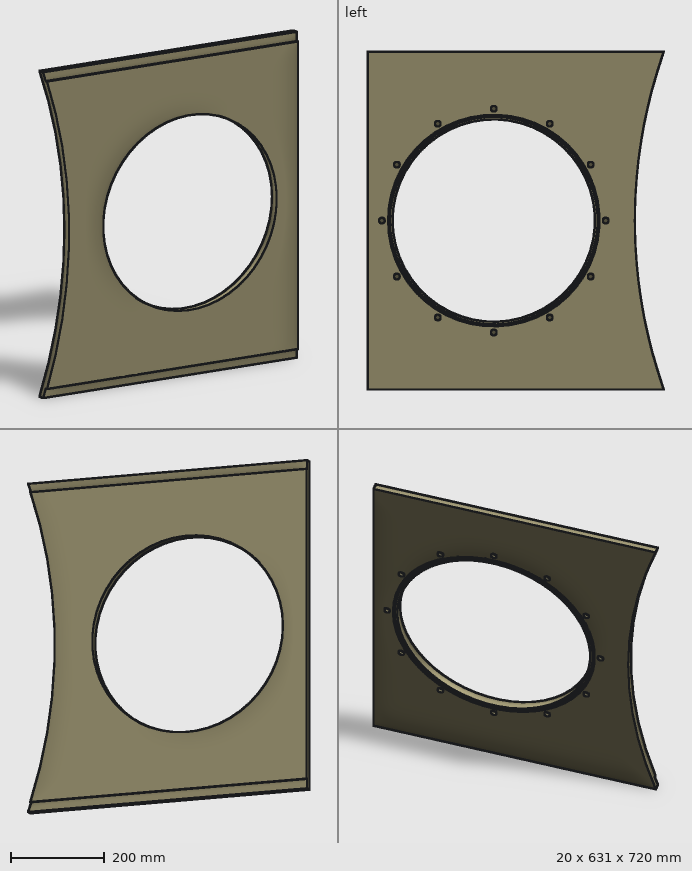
import cadquery as cq

thickness = 20.0
width = 631.0
height = 720.0
bore_to_straight_edge = 268.5
edge_hollow = 62.0

rebate_depth = 5.0
rebate_height = 20.0

bore_radius = 215.0
groove_inner_radius = 221.0
groove_outer_radius = 225.0
groove_depth = 3.0

hole_count = 12
hole_circle_radius = 238.0
hole_diameter = 12.0
hole_depth = 10.0

straight_y = bore_to_straight_edge
corner_y = straight_y - width
half_height = height / 2


def plate():
    return (
        cq.Workplane("YZ")
        .moveTo(straight_y, -half_height)
        .lineTo(straight_y, half_height)
        .lineTo(corner_y, half_height)
        .threePointArc((corner_y + edge_hollow, 0), (corner_y, -half_height))
        .close()
        .extrude(thickness)
    )


def rebate(side):
    """Strip removed along the top (side = 1) or bottom (side = -1) edge."""
    return (
        cq.Workplane("YZ", origin=(thickness - rebate_depth, 0, 0))
        .center(straight_y - width / 2, side * (half_height - rebate_height / 2))
        .rect(width, rebate_height)
        .extrude(rebate_depth)
    )


def bore():
    return cq.Workplane("YZ").circle(bore_radius).extrude(thickness)


def ring_groove():
    """Annular groove in the -X face."""
    return (
        cq.Workplane("YZ")
        .circle(groove_outer_radius)
        .circle(groove_inner_radius)
        .extrude(groove_depth)
    )


def ring_of_holes():
    return (
        cq.Workplane("YZ")
        .polarArray(hole_circle_radius, 0, 360, hole_count)
        .circle(hole_diameter / 2)
        .extrude(hole_depth)
    )


result = plate()
for side in (-1, 1):
    result = result.cut(rebate(side))
result = result.cut(bore())
result = result.cut(ring_groove())
result = result.cut(ring_of_holes())